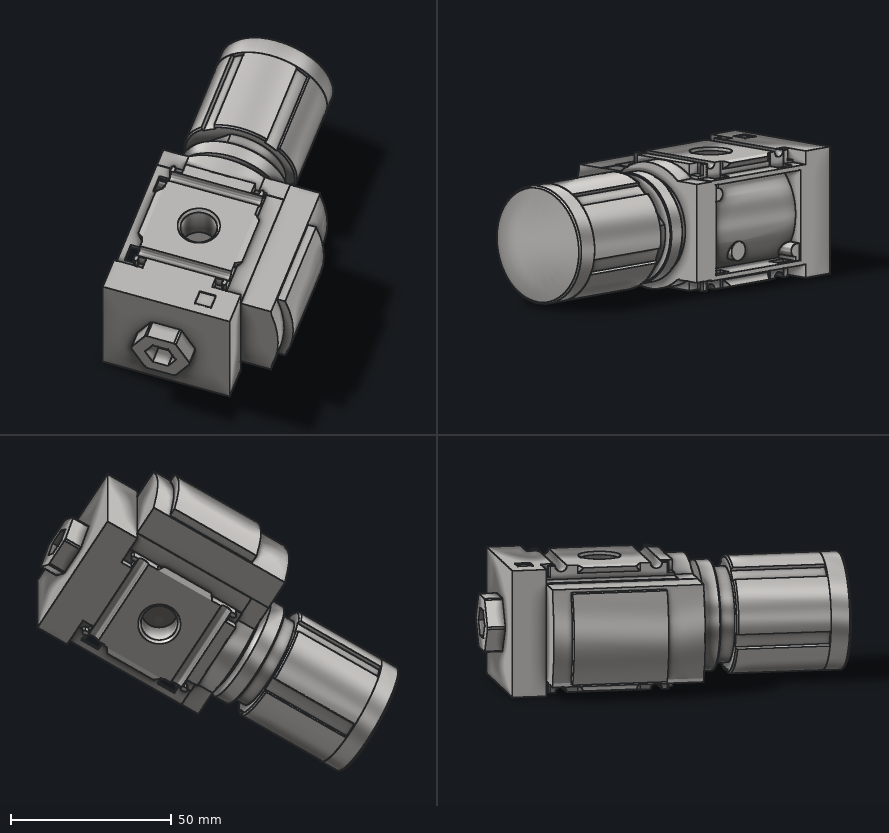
import cadquery as cq
import math


BODY_HALF_X = 20.9
BODY_HALF_Z = 20.1
FRAME_HALF_Z = 15.8
SHOULDER_HALF_Z = 15.6
Y_BASE_FRONT = -31.8
Y_PLATE = 20.9
Y_BODY_BACK = 27.1
SHOULDER_RADIUS = 20.0

PLATE_HALF_X = 15.2
GROOVE_Y = 15.1
GROOVE_RADIUS = 1.8
PORT_DIAMETER = 11.4
PORT_MOUTH_DIAMETER = 13.3
PORT_DEPTH = 11.5
STRIP_HALF_X = 11.4
RECESS_START_Y = 17.3
RECESS_FLOOR_Z = 16.6
EAR_WIDTH = 1.4
EAR_CHAMFER = 0.6
EAR_END_Y = 19.2
TAB_REACH = 1.8
TAB_ROOT_HALF_Y = 9.9
TAB_TIP_HALF_Y = 8.4
TAB_TIP_Z = 19.5
TAB_UNDER_Z = 18.7
TAB_ROOT_Z = 17.5
TAB_UNDER_REACH = 1.3

WINDOW_HALF_Y = 18.7
WINDOW_HALF_Z = 14.3
BARREL_RADIUS = 18.7
BARREL_INSIDE_X = -11.5
SLOT_X_OUTER = -18.7
SLOT_X_INNER = -14.9
SLOT_Y_NEAR = 10.9
SLOT_Y_FAR = 17.0
LUG_FACE_X = -20.3
LUG_RADIUS = 2.1
LUG_Y = 17.2
LUG_Z = 11.0
BUTTON_DIAMETER = 6.1
BUTTON_FACE_X = -18.0
BUTTON_Y = 5.9
BUTTON_Z = -8.5

MARK_X = 11.0
MARK_Y = -26.1
MARK_LENGTH_X = 5.3
MARK_LENGTH_Y = 4.9
MARK_DEPTH = 0.5

COVER_HALF_Z = 15.5
COVER_X = 30.8
COVER_CROWN_X = 33.1
COVER_CROWN_HALF_Z = 14.2
PAD_EDGE_X = 33.5
PAD_CROWN_X = 36.2
PAD_HALF_Y = 15.0
PAD_HALF_Z = 14.4

PLUG_LENGTH = 5.7
PLUG_FLATS = 17.0
PLUG_CORNER_DIAMETER = 19.2
SOCKET_FLATS = 8.8
SOCKET_DEPTH = 8.1

COLLAR_DIAMETER = 31.6
FLANGE_DIAMETER = 35.0
FLANGE_CHAMFER = 0.3
NECK_DIAMETER = 30.1
NECK_FLAT_DISTANCE = 12.6
Y_FLANGE_BEVEL = 28.5
Y_FLANGE_RIM = 30.1
Y_FLANGE_BACK = 35.2
Y_NECK_BACK = 40.1

KNOB_DIAMETER = 37.2
GRIP_DIAMETER = 37.1
KNOB_CHAMFER = 0.6
Y_GRIP_BACK = 70.0
Y_KNOB_RIM = 76.5
Y_KNOB_CROWN = 78.1
GRIP_SLOTS = 5
GRIP_SLOT_DEPTH = 1.3
GRIP_SLOT_ANGLE = 16.0


def box(x_range, y_range, z_range):
    """Box between the given (low, high) limits."""
    sizes = [high - low for low, high in (x_range, y_range, z_range)]
    return (
        cq.Workplane("XY")
        .box(*sizes, centered=False)
        .translate((x_range[0], y_range[0], z_range[0]))
    )


def section(y_start):
    """Workplane across the knob axis: local X and Y are the part's X and Z."""
    return cq.Workplane("XZ", origin=(0, y_start, 0))


def disc(diameter, y_start, y_end):
    """Cylinder on the knob axis."""
    return section(y_start).circle(diameter / 2).extrude(y_start - y_end)


def hexagon(flats, y_start, y_end):
    """Hexagonal prism on the knob axis, with corners on the X axis."""
    corner_diameter = flats / math.cos(math.pi / 6)
    return section(y_start).polygon(6, corner_diameter).extrude(y_start - y_end)


def both_sides(solid, plane):
    """The solid together with its mirror image."""
    return solid.union(solid.mirror(plane))


def core_block():
    """Tall base, lower frame, and a shoulder that is rounded above and below."""
    full_x = (-BODY_HALF_X, BODY_HALF_X)
    base = box(full_x, (Y_BASE_FRONT, -Y_PLATE), (-BODY_HALF_Z, BODY_HALF_Z))
    frame = box(full_x, (-Y_PLATE, Y_PLATE), (-FRAME_HALF_Z, FRAME_HALF_Z))
    shoulder = box(full_x, (Y_PLATE, Y_BODY_BACK), (-SHOULDER_HALF_Z, SHOULDER_HALF_Z))
    round_shoulder = disc(2 * SHOULDER_RADIUS, Y_PLATE, Y_BODY_BACK)
    return base.union(frame).union(shoulder).union(round_shoulder)


def plate_tab():
    """Bevelled tab on the -X edge of the top port plate."""
    profile = (
        section(TAB_ROOT_HALF_Y)
        .moveTo(-PLATE_HALF_X, TAB_ROOT_Z)
        .lineTo(-PLATE_HALF_X, BODY_HALF_Z)
        .lineTo(-PLATE_HALF_X - TAB_REACH, TAB_TIP_Z)
        .lineTo(-PLATE_HALF_X - TAB_UNDER_REACH, TAB_UNDER_Z)
        .close()
        .extrude(2 * TAB_ROOT_HALF_Y)
    )
    outline = (
        cq.Workplane("XY")
        .moveTo(-PLATE_HALF_X, -TAB_ROOT_HALF_Y)
        .lineTo(-PLATE_HALF_X - TAB_REACH, -TAB_TIP_HALF_Y)
        .lineTo(-PLATE_HALF_X - TAB_REACH, TAB_TIP_HALF_Y)
        .lineTo(-PLATE_HALF_X, TAB_ROOT_HALF_Y)
        .close()
        .extrude(BODY_HALF_Z)
    )
    return profile.intersect(outline)


def corner_recess():
    """Recess in the (-X, +Y) corner of the top port plate, around a chamfered ear."""
    recess = box(
        (-PLATE_HALF_X, -STRIP_HALF_X), (RECESS_START_Y, Y_PLATE), (RECESS_FLOOR_Z, BODY_HALF_Z)
    )
    ear_near_x = -PLATE_HALF_X + EAR_WIDTH
    ear = (
        cq.Workplane("XY")
        .moveTo(-PLATE_HALF_X, GROOVE_Y)
        .lineTo(-PLATE_HALF_X, EAR_END_Y - EAR_CHAMFER)
        .lineTo(-PLATE_HALF_X + EAR_CHAMFER, EAR_END_Y)
        .lineTo(ear_near_x - EAR_CHAMFER, EAR_END_Y)
        .lineTo(ear_near_x, EAR_END_Y - EAR_CHAMFER)
        .lineTo(ear_near_x, GROOVE_Y)
        .close()
        .extrude(BODY_HALF_Z)
    )
    return recess.cut(ear)


def port_plate():
    """Top port plate with grooves, corner recesses and side tabs."""
    plate = box((-PLATE_HALF_X, PLATE_HALF_X), (-Y_PLATE, Y_PLATE), (FRAME_HALF_Z, BODY_HALF_Z))
    groove = (
        cq.Workplane("YZ", origin=(-PLATE_HALF_X, 0, 0))
        .center(GROOVE_Y, BODY_HALF_Z)
        .circle(GROOVE_RADIUS)
        .extrude(2 * PLATE_HALF_X)
    )
    plate = plate.cut(both_sides(groove, "XZ"))
    plate = plate.cut(both_sides(both_sides(corner_recess(), "XZ"), "YZ"))
    return plate.union(both_sides(plate_tab(), "YZ"))


def port():
    """Blind port in the top plate, with a 45 degree chamfer at its mouth."""
    chamfer = (PORT_MOUTH_DIAMETER - PORT_DIAMETER) / 2
    bottom_z = BODY_HALF_Z - PORT_DEPTH
    return (
        cq.Workplane("XZ")
        .moveTo(0, bottom_z)
        .lineTo(PORT_DIAMETER / 2, bottom_z)
        .lineTo(PORT_DIAMETER / 2, BODY_HALF_Z - chamfer)
        .lineTo(PORT_MOUTH_DIAMETER / 2, BODY_HALF_Z)
        .lineTo(0, BODY_HALF_Z)
        .close()
        .revolve(360, (0, 0, 0), (0, 1, 0))
    )


def side_window():
    """Space between the -X face and the barrel."""
    barrel_x = -math.sqrt(BARREL_RADIUS**2 - WINDOW_HALF_Z**2)
    opening = box(
        (-BODY_HALF_X, barrel_x),
        (-WINDOW_HALF_Y, WINDOW_HALF_Y),
        (-WINDOW_HALF_Z, WINDOW_HALF_Z),
    )
    return opening.cut(disc(2 * BARREL_RADIUS, -WINDOW_HALF_Y, WINDOW_HALF_Y))


def wall_slots():
    """Four slots through the walls above and below the window."""
    slot = box(
        (SLOT_X_OUTER, SLOT_X_INNER), (SLOT_Y_NEAR, SLOT_Y_FAR), (WINDOW_HALF_Z, BODY_HALF_Z)
    )
    return both_sides(both_sides(slot, "XZ"), "XY")


def window_lugs():
    """Round-ended lugs in two opposite corners of the window, reaching into the barrel."""
    lug_x = (LUG_FACE_X, BARREL_INSIDE_X)
    round_end = (
        cq.Workplane("YZ", origin=(LUG_FACE_X, 0, 0))
        .center(LUG_Y, LUG_Z)
        .circle(LUG_RADIUS)
        .extrude(lug_x[1] - lug_x[0])
    )
    foot = box(lug_x, (LUG_Y, WINDOW_HALF_Y), (LUG_Z - LUG_RADIUS, WINDOW_HALF_Z))
    lug = round_end.union(foot)
    return lug.union(lug.rotate((0, 0, 0), (1, 0, 0), 180))


def window_button():
    """Round button standing on the barrel."""
    return (
        cq.Workplane("YZ", origin=(BUTTON_FACE_X, 0, 0))
        .center(BUTTON_Y, BUTTON_Z)
        .circle(BUTTON_DIAMETER / 2)
        .extrude(BARREL_INSIDE_X - BUTTON_FACE_X)
    )


def marking_recess():
    """Shallow rectangular recess in the top of the base."""
    return box(
        (MARK_X - MARK_LENGTH_X / 2, MARK_X + MARK_LENGTH_X / 2),
        (MARK_Y - MARK_LENGTH_Y / 2, MARK_Y + MARK_LENGTH_Y / 2),
        (BODY_HALF_Z - MARK_DEPTH, BODY_HALF_Z),
    )


def crowned_block(y_range, edge_x, crown_x, half_z):
    """Block from the housing's +X face outward, its end bulging to crown_x."""
    return (
        section(y_range[1])
        .moveTo(BODY_HALF_X, -half_z)
        .lineTo(edge_x, -half_z)
        .threePointArc((crown_x, 0), (edge_x, half_z))
        .lineTo(BODY_HALF_X, half_z)
        .close()
        .extrude(y_range[1] - y_range[0])
    )


def side_cover():
    """Cover on the +X side, with a bulging end and a raised pad."""
    cover_y = (-Y_PLATE, Y_BODY_BACK)
    cover = box((BODY_HALF_X, COVER_X), cover_y, (-COVER_HALF_Z, COVER_HALF_Z))
    crown = crowned_block(cover_y, COVER_X, COVER_CROWN_X, COVER_CROWN_HALF_Z)
    pad = crowned_block((-PAD_HALF_Y, PAD_HALF_Y), PAD_EDGE_X, PAD_CROWN_X, PAD_HALF_Z)
    return cover.union(crown).union(pad)


def drain_plug():
    """Hexagonal plug with rounded corners and a hexagonal socket."""
    plug_end = Y_BASE_FRONT - PLUG_LENGTH
    plug = hexagon(PLUG_FLATS, plug_end, Y_BASE_FRONT)
    plug = plug.intersect(disc(PLUG_CORNER_DIAMETER, plug_end, Y_BASE_FRONT))
    return plug.cut(hexagon(SOCKET_FLATS, plug_end, plug_end + SOCKET_DEPTH))


def neck():
    """Stepped neck between the block and the knob, with one diagonal flat."""
    flange = (
        cq.Workplane("XY")
        .moveTo(0, Y_BODY_BACK)
        .lineTo(COLLAR_DIAMETER / 2, Y_BODY_BACK)
        .lineTo(COLLAR_DIAMETER / 2, Y_FLANGE_BEVEL)
        .lineTo(FLANGE_DIAMETER / 2, Y_FLANGE_RIM)
        .lineTo(FLANGE_DIAMETER / 2, Y_FLANGE_BACK - FLANGE_CHAMFER)
        .lineTo(FLANGE_DIAMETER / 2 - FLANGE_CHAMFER, Y_FLANGE_BACK)
        .lineTo(0, Y_FLANGE_BACK)
        .close()
        .revolve(360, (0, 0, 0), (0, 1, 0))
    )
    stem = disc(NECK_DIAMETER, Y_FLANGE_BACK, Y_NECK_BACK)
    flat_cut = box(
        (-NECK_DIAMETER, NECK_DIAMETER),
        (Y_FLANGE_BACK, Y_NECK_BACK),
        (NECK_FLAT_DISTANCE, NECK_DIAMETER),
    ).rotate((0, 0, 0), (0, 1, 0), -45)
    return flange.union(stem.cut(flat_cut))


def make_housing():
    """Housing with all its fixed parts as one solid."""
    housing = core_block().union(both_sides(port_plate(), "XY"))
    housing = housing.cut(side_window()).cut(wall_slots())
    housing = housing.union(window_lugs()).union(window_button())
    housing = housing.cut(both_sides(port(), "XY")).cut(marking_recess())
    return housing.union(side_cover()).union(drain_plug()).union(neck())


def grip_slot():
    """Ring sector cut from the grip, centred on the +X axis."""
    floor_diameter = GRIP_DIAMETER - 2 * GRIP_SLOT_DEPTH
    half_angle = math.radians(GRIP_SLOT_ANGLE / 2)
    edge_x = KNOB_DIAMETER * math.cos(half_angle)
    edge_z = KNOB_DIAMETER * math.sin(half_angle)
    wedge = (
        section(Y_NECK_BACK)
        .polyline([(0, 0), (edge_x, -edge_z), (edge_x, edge_z)])
        .close()
        .extrude(Y_NECK_BACK - Y_GRIP_BACK)
    )
    return wedge.cut(disc(floor_diameter, Y_NECK_BACK, Y_GRIP_BACK))


def make_knob():
    """Knob with a slotted grip and a wider, domed cap."""
    radius = KNOB_DIAMETER / 2
    grip_radius = GRIP_DIAMETER / 2
    rim_radius = radius - KNOB_CHAMFER
    crown_height = Y_KNOB_CROWN - Y_KNOB_RIM
    crown_radius = (rim_radius**2 + crown_height**2) / (2 * crown_height)
    mid_x = rim_radius / 2
    mid_y = Y_KNOB_CROWN - crown_radius + math.sqrt(crown_radius**2 - mid_x**2)
    knob = (
        cq.Workplane("XY")
        .moveTo(0, Y_NECK_BACK)
        .lineTo(grip_radius - KNOB_CHAMFER, Y_NECK_BACK)
        .lineTo(grip_radius, Y_NECK_BACK + KNOB_CHAMFER)
        .lineTo(grip_radius, Y_GRIP_BACK)
        .lineTo(radius, Y_GRIP_BACK)
        .lineTo(radius, Y_KNOB_RIM - KNOB_CHAMFER)
        .lineTo(rim_radius, Y_KNOB_RIM)
        .threePointArc((mid_x, mid_y), (0, Y_KNOB_CROWN))
        .close()
        .revolve(360, (0, 0, 0), (0, 1, 0))
    )
    spacing = 360 / GRIP_SLOTS
    slot = grip_slot()
    for index in range(GRIP_SLOTS):
        angle = -90 + spacing * (index + 0.5)
        knob = knob.cut(slot.rotate((0, 0, 0), (0, 1, 0), angle))
    return knob


housing = make_housing()
knob = make_knob()

result = cq.Compound.makeCompound([housing.solids().val(), knob.solids().val()])